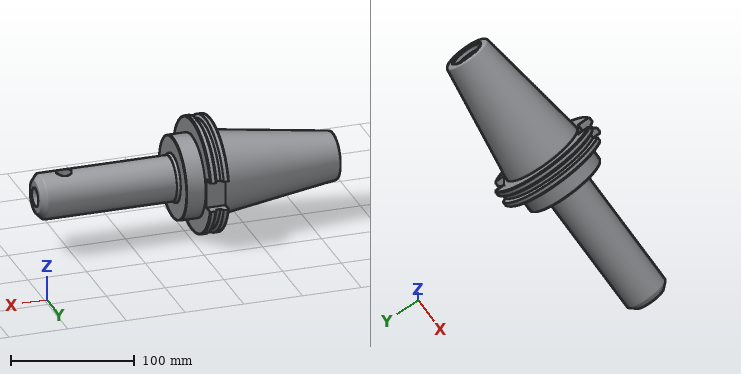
import cadquery as cq
import math

total_length = 254.0
taper_end_x = 103.1
gauge_x = 101.5
flange_start_x = 104.7
flange_end_x = 120.7
collar_end_x = 137.0

gauge_diameter = 69.9
taper_rate = 7 / 24
small_diameter = gauge_diameter - taper_rate * gauge_x
taper_end_diameter = small_diameter + taper_rate * taper_end_x
shank_round = 2.3

flange_diameter = 97.0
flange_chamfer = 0.8
groove_depth = 3.0
groove_outer_start_x = 109.2
groove_floor_start_x = 111.0
groove_floor_end_x = 114.3
groove_outer_end_x = 116.0

slot_width = 25.1
far_slot_floor = 37.8
near_slot_floor = 35.8

collar_diameter = 70.0
collar_chamfer = 0.5
arbor_diameter = 38.0
neck_diameter = 41.2
neck_length = 2.8
nose_length = 4.8
nose_diameter = 27.7
nose_round = 1.3

through_diameter = 15.7
thread_diameter = 21.8
thread_end_x = 45.7
drill_tip_angle = 118
thread_step = (thread_diameter - through_diameter) / 2
drill_tip_length = thread_step / math.tan(math.radians(drill_tip_angle / 2))
pilot_diameter = 26.2
pilot_depth = 5.0
entry_diameter = 26.7
entry_depth = 3.8
mouth_diameter = 28.7
mouth_chamfer = (mouth_diameter - entry_diameter) / 2

cross_hole_diameter = 12.7
cross_hole_x = 229.6


def revolve_profile(points):
    """Revolve a closed (x, radius) outline about the X axis."""
    outline = cq.Workplane("XY").polyline(points).close()
    return outline.revolve(360, (0, 0, 0), (1, 0, 0))


def make_shank():
    shank = revolve_profile([
        (0, 0),
        (0, small_diameter / 2),
        (taper_end_x, taper_end_diameter / 2),
        (flange_start_x, taper_end_diameter / 2),
        (flange_start_x, 0),
    ])
    return shank.faces("<X").edges().fillet(shank_round)


def make_flange():
    outer = flange_diameter / 2
    floor = outer - groove_depth
    rim = outer - flange_chamfer
    return revolve_profile([
        (flange_start_x, 0),
        (flange_start_x, rim),
        (flange_start_x + flange_chamfer, outer),
        (groove_outer_start_x, outer),
        (groove_floor_start_x, floor),
        (groove_floor_end_x, floor),
        (groove_outer_end_x, outer),
        (flange_end_x - flange_chamfer, outer),
        (flange_end_x, rim),
        (flange_end_x, 0),
    ])


def make_slot(side, floor):
    """Cutter for a drive slot; side is +1 for +Y and -1 for -Y."""
    width = flange_end_x - flange_start_x
    cutter = cq.Workplane("XY").box(width, flange_diameter, slot_width)
    center_y = side * (floor + flange_diameter / 2)
    return cutter.translate((flange_start_x + width / 2, center_y, 0))


def make_collar_and_arbor():
    body = revolve_profile([
        (flange_end_x, 0),
        (flange_end_x, collar_diameter / 2),
        (collar_end_x - collar_chamfer, collar_diameter / 2),
        (collar_end_x, collar_diameter / 2 - collar_chamfer),
        (collar_end_x, neck_diameter / 2),
        (collar_end_x + neck_length, arbor_diameter / 2),
        (total_length - nose_length, arbor_diameter / 2),
        (total_length, nose_diameter / 2),
        (total_length, 0),
    ])
    nose_edges = cq.selectors.BoxSelector(
        (total_length - 1.5 * nose_length, -arbor_diameter, -arbor_diameter),
        (total_length + nose_length, arbor_diameter, arbor_diameter),
        boundingbox=True,
    )
    return body.edges("%CIRCLE").edges(nose_edges).fillet(nose_round)


def make_bore():
    return revolve_profile([
        (0, 0),
        (0, mouth_diameter / 2),
        (mouth_chamfer, entry_diameter / 2),
        (entry_depth, entry_diameter / 2),
        (pilot_depth, pilot_diameter / 2),
        (pilot_depth, thread_diameter / 2),
        (thread_end_x, thread_diameter / 2),
        (thread_end_x + drill_tip_length, through_diameter / 2),
        (total_length, through_diameter / 2),
        (total_length, 0),
    ])


def make_cross_hole():
    return (
        cq.Workplane("XY")
        .center(cross_hole_x, 0)
        .circle(cross_hole_diameter / 2)
        .extrude(arbor_diameter)
    )


flange = make_flange().cut(make_slot(1, far_slot_floor)).cut(make_slot(-1, near_slot_floor))
body = make_shank().union(flange).union(make_collar_and_arbor())
result = body.cut(make_bore()).cut(make_cross_hole())